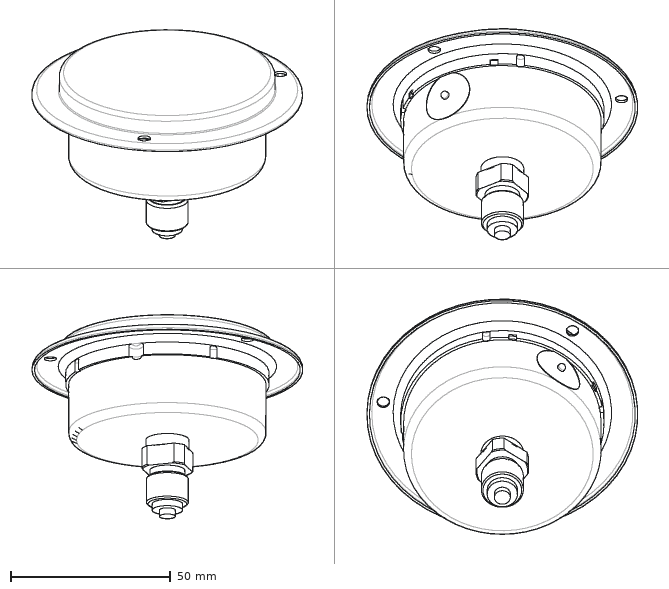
import cadquery as cq
import math

TIP_TOP = 2.0
PILOT_TOP = 4.1
THREAD_TOP = 13.1
RELIEF_TOP = 15.1
WRENCH_TOP = 21.6
CASE_BOTTOM = 25.2
RING_BOTTOM = 43.35
RING_TOP = 47.3
FLANGE_BOTTOM = 48.1
FLANGE_TOP = 50.15
BEZEL_TOP = 56.0

TIP_DIA = 5.0
PILOT_DIA = 9.5
THREAD_DIA = 13.2
RELIEF_DIA = 11.0
NECK_DIA = 13.5
THREAD_TOP_CHAMFER = 0.8
THREAD_BOTTOM_CHAMFER = 0.5
WRENCH_FLATS = 14.0
WRENCH_CORNER_DIA = 16.6
WRENCH_CHAMFER = 0.3

CASE_DIA = 62.0
CASE_FILLET = 2.5
RING_DIA = 63.8
FLARE_DIA = 68.5
BEZEL_DIA = 67.75
BEZEL_FILLET = 1.4
BEZEL_COVE = 0.3

FLANGE_DIA = 85.0
RIM_INNER_DIA = 83.4
SHEET = (FLANGE_DIA - RIM_INNER_DIA) / 2
RIM_FILLET = 1.5
MOUNT_HOLE_DIA = 3.8
MOUNT_CIRCLE_DIA = 75.05
MOUNT_HOLE_ANGLES = (90, 210, 330)

GROOVE_DIA = 2.5
GROOVE_ANGLES = (45, 135, 225, 315)
GROOVE_TOP = 46.2
GROOVE_DOME = 0.85
NOTCH_WIDTH = 2.5
NOTCH_DEPTH = 0.5
NOTCH_TOP = 45.05
NOTCH_ANGLES = (60, 120)
FRONT_GROOVE_DIA = 5.8
FRONT_GROOVE_REACH = 33.4
FRONT_GROOVE_BOTTOM = 42.1
FRONT_GROOVE_FLOOR_FILLET = 1.2
FRONT_GROOVE_ROOF_ANGLE = 30
FRONT_GROOVE_ROOF_FILLET = 1.0

PLUG_DIA = 16.5
PLUG_PROUD = 0.2
PLUG_HEIGHT = 35.5
PIN_DIA = 2.5
PIN_SHOULDER = 31.7


def disc(diameter, bottom, top):
    """Round bar on the gauge axis between two heights."""
    return cq.Workplane("XY").workplane(offset=bottom).circle(diameter / 2).extrude(top - bottom)


def around(tool, angles):
    """Copies of a tool turned about the gauge axis to each angle in degrees."""
    copies = cq.Workplane("XY")
    for angle in angles:
        copies = copies.add(tool.rotate((0, 0, 0), (0, 0, 1), angle))
    return copies.combine()


def make_stem():
    thread = disc(THREAD_DIA, PILOT_TOP, THREAD_TOP)
    thread = thread.faces(">Z").chamfer(THREAD_TOP_CHAMFER)
    thread = thread.faces("<Z").chamfer(THREAD_BOTTOM_CHAMFER)

    wrench_height = WRENCH_TOP - RELIEF_TOP
    corners = disc(WRENCH_CORNER_DIA, RELIEF_TOP, WRENCH_TOP).faces("<Z").chamfer(WRENCH_CHAMFER)
    wrench = (
        cq.Workplane("XY")
        .workplane(offset=RELIEF_TOP)
        .rect(WRENCH_FLATS, WRENCH_FLATS)
        .extrude(wrench_height)
        .intersect(corners)
    )

    stem = disc(TIP_DIA, 0, TIP_TOP).union(disc(PILOT_DIA, TIP_TOP, PILOT_TOP)).union(thread)
    stem = stem.union(disc(RELIEF_DIA, THREAD_TOP, RELIEF_TOP)).union(wrench)
    return stem.union(disc(NECK_DIA, WRENCH_TOP, CASE_BOTTOM))


def make_head():
    """Case, ring, flange and bezel turned as one profile."""
    case_r = CASE_DIA / 2
    ring_r = RING_DIA / 2
    bezel_r = BEZEL_DIA / 2
    flange_r = FLANGE_DIA / 2
    sheet_bottom = FLANGE_TOP - SHEET
    inner_bend = RIM_FILLET - SHEET
    bend_z = FLANGE_TOP - RIM_FILLET
    bend_r = flange_r - RIM_FILLET
    cos45 = math.cos(math.radians(45))

    profile = (
        cq.Workplane("XZ")
        .moveTo(0, CASE_BOTTOM)
        .lineTo(case_r, CASE_BOTTOM)
        .lineTo(case_r, RING_BOTTOM)
        .lineTo(ring_r, RING_BOTTOM)
        .lineTo(ring_r, RING_TOP)
        .lineTo(FLARE_DIA / 2, sheet_bottom)
        .lineTo(bend_r, sheet_bottom)
        .threePointArc(
            (bend_r + inner_bend * cos45, bend_z + inner_bend * cos45),
            (bend_r + inner_bend, bend_z),
        )
        .lineTo(RIM_INNER_DIA / 2, FLANGE_BOTTOM)
        .lineTo(flange_r, FLANGE_BOTTOM)
        .lineTo(flange_r, bend_z)
        .threePointArc(
            (bend_r + RIM_FILLET * cos45, bend_z + RIM_FILLET * cos45),
            (bend_r, FLANGE_TOP),
        )
        .lineTo(bezel_r + BEZEL_COVE, FLANGE_TOP)
        .threePointArc(
            (bezel_r + BEZEL_COVE * (1 - cos45), FLANGE_TOP + BEZEL_COVE * (1 - cos45)),
            (bezel_r, FLANGE_TOP + BEZEL_COVE),
        )
        .lineTo(bezel_r, BEZEL_TOP)
        .lineTo(0, BEZEL_TOP)
        .close()
    )
    head = profile.revolve(360, (0, 0, 0), (0, 1, 0))
    head = head.faces(">Z").edges().fillet(BEZEL_FILLET)
    return head.faces("<Z").edges().fillet(CASE_FILLET)


def make_plug():
    """Round plug curved like the case wall, slightly proud of it, with a round-nosed pin at its centre."""
    centre = (0, 0, PLUG_HEIGHT)
    face = disc(CASE_DIA + 2 * PLUG_PROUD, CASE_BOTTOM, RING_BOTTOM)
    plug = cq.Workplane("XZ").circle(PLUG_DIA / 2).extrude(-CASE_DIA).translate(centre).intersect(face)
    pin = cq.Workplane("XZ").circle(PIN_DIA / 2).extrude(-PIN_SHOULDER).translate(centre)
    nose = cq.Workplane("XY").sphere(PIN_DIA / 2).translate((0, PIN_SHOULDER, PLUG_HEIGHT))
    return plug.union(pin).union(nose)


def mount_holes():
    hole = disc(MOUNT_HOLE_DIA, FLANGE_BOTTOM, FLANGE_TOP).translate((MOUNT_CIRCLE_DIA / 2, 0, 0))
    return around(hole, MOUNT_HOLE_ANGLES)


def ring_grooves():
    """Upright grooves with domed tops, centred on the outer face of the ring."""
    groove = disc(GROOVE_DIA, RING_BOTTOM, GROOVE_TOP + GROOVE_DOME).faces(">Z").edges().fillet(GROOVE_DOME)
    return around(groove.translate((RING_DIA / 2, 0, 0)), GROOVE_ANGLES)


def ring_notches():
    """Short flat-bottomed notches in the lower edge of the ring."""
    notch_height = NOTCH_TOP - RING_BOTTOM
    notch = cq.Workplane("XY").box(2 * NOTCH_DEPTH, NOTCH_WIDTH, notch_height, centered=(True, True, False))
    return around(notch.translate((RING_DIA / 2, 0, RING_BOTTOM)), NOTCH_ANGLES)


def front_groove():
    """Wide groove on the -Y side, its conical roof falling toward the gauge axis and its floor rounded."""
    slope = math.tan(math.radians(FRONT_GROOVE_ROOF_ANGLE))
    outer_r = FRONT_GROOVE_REACH + FRONT_GROOVE_DIA
    inner_r = FRONT_GROOVE_REACH - FRONT_GROOVE_DIA
    roof_outer_z = RING_TOP + slope * (outer_r - RING_DIA / 2)
    roof_inner_z = RING_TOP + slope * (inner_r - RING_DIA / 2)
    below_roof = (
        cq.Workplane("XZ")
        .moveTo(inner_r, FRONT_GROOVE_BOTTOM)
        .lineTo(outer_r, FRONT_GROOVE_BOTTOM)
        .lineTo(outer_r, roof_outer_z)
        .lineTo(inner_r, roof_inner_z)
        .close()
        .revolve(360, (0, 0, 0), (0, 1, 0))
    )
    groove = disc(FRONT_GROOVE_DIA, FRONT_GROOVE_BOTTOM, roof_outer_z)
    groove = groove.translate((0, -FRONT_GROOVE_REACH, 0)).intersect(below_roof)
    groove = groove.faces("<Z").edges().fillet(FRONT_GROOVE_FLOOR_FILLET)
    groove = groove.faces("%CONE").edges().fillet(FRONT_GROOVE_ROOF_FILLET)
    below_flange = disc(FLANGE_DIA, FRONT_GROOVE_BOTTOM, RING_TOP)
    return groove.intersect(below_flange)


result = make_head().union(make_stem()).union(make_plug())
result = result.cut(mount_holes()).cut(ring_grooves()).cut(ring_notches()).cut(front_groove())